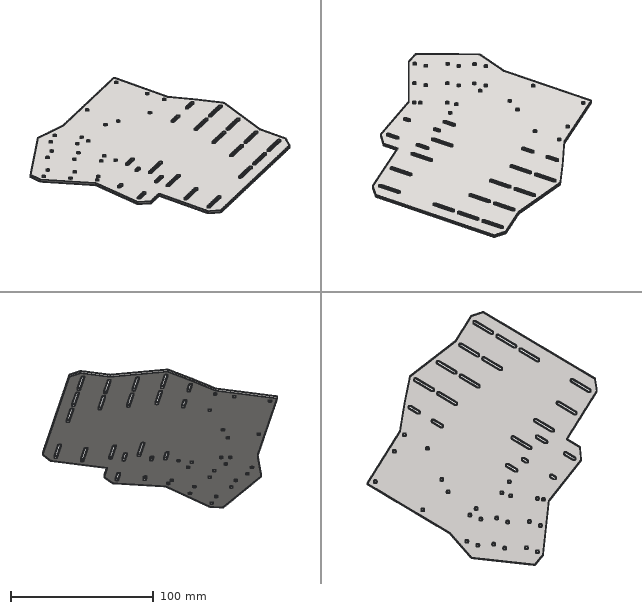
import cadquery as cq
import math

thickness = 2.0
width = 155.5
depth = 147.0
hole_dia = 2.2

pitch = 19.0
stagger = 7.0
first_column_x = 51.2
column_x = [first_column_x + i * pitch for i in range(6)]
top_row_y = 128.3
second_row_y = top_row_y - pitch
bottom_row_y = 48.0

row_span = 23.2
thumb_top_y = 47.7
thumb_bottom_y = thumb_top_y - row_span
thumb_x = [first_column_x + (i + 0.5) * pitch for i in range(3)]
thumb_short_travel = 2.6

tilt = math.radians(25)
cluster_a = (33.8, 41.7)
cluster_b = (35.3, 33.6)

controller_x = 11.7
controller_y = 89.1
controller_width = 25.7
controller_depth = 39.0
side_pair_x = 32.0
side_pair_y = 57.5

left_edge_x = 7.3
left_top_y = 132.4
left_bottom_y = 64.2
right_top_y = 132.8
right_bottom_y = 29.2
corner_x = 6.8
corner_y = 5.8
step_x = 108.0
step_corner = (7.5, 5.6)
step_low_y = 12.8
top_rise_x = 51.6
top_fall_x = 127.5
thumb_notch = (63.5, 16.8)
lowest_x = 28.0
lower_left = (19.0, 1.2)
left_corner_y = 41.8


def make_plate():
    outline = [
        (left_edge_x, left_top_y),
        (top_rise_x, left_top_y),
        (column_x[1], depth - stagger),
        (column_x[2], depth),
        (top_fall_x, right_top_y),
        (width - corner_x, right_top_y),
        (width, right_top_y - corner_y),
        (width, right_bottom_y + corner_y),
        (width - corner_x, right_bottom_y),
        (step_x, right_bottom_y),
        (step_x, step_low_y + step_corner[1]),
        (step_x - step_corner[0], step_low_y),
        thumb_notch,
        (lowest_x, 0),
        lower_left,
        (0, left_corner_y),
        (left_edge_x, left_bottom_y),
    ]
    return cq.Workplane("XY").polyline(outline).close().extrude(thickness)


def round_holes(points):
    return cq.Workplane("XY").pushPoints(points).circle(hole_dia / 2).extrude(thickness)


def upright_slot(x, low_y, high_y):
    """Slot whose end arcs are centred at low_y and high_y."""
    return (
        cq.Workplane("XY")
        .center(x, (low_y + high_y) / 2)
        .slot2D(high_y - low_y + hole_dia, hole_dia, 90)
        .extrude(thickness)
    )


def tilted_point(origin, along, across):
    """Point in the tilted cluster, measured from origin along and across its rows."""
    x = origin[0] + along * math.cos(tilt) - across * math.sin(tilt)
    y = origin[1] + along * math.sin(tilt) + across * math.cos(tilt)
    return (x, y)


def fixed_holes():
    points = [(first_column_x, y) for y in (top_row_y, second_row_y, bottom_row_y)]
    points += [(thumb_x[0], y) for y in (thumb_top_y, thumb_bottom_y)]
    points += [(side_pair_x, y) for y in (side_pair_y, side_pair_y + row_span)]
    for x in (controller_x, controller_x + controller_width):
        for y in (controller_y, controller_y + controller_depth):
            points.append((x, y))
    return points


def cluster_holes():
    points = []
    for origin in (cluster_a, cluster_b):
        for along in (-pitch, 0):
            for across in (pitch, 0, -row_span):
                points.append(tilted_point(origin, along, across))
    for across in (0, -row_span):
        points.append(tilted_point(cluster_b, pitch, across))
    return points


def column_slots():
    """Slots as (x, low_y, high_y); each column covers a range of stagger steps."""
    slots = []
    column_range = [(0, 1), (0, 2), (-1, 1), (-2, 0), (-2, 0)]
    for x, (low, high) in zip(column_x[1:], column_range):
        for row_y in (top_row_y, second_row_y, bottom_row_y):
            slots.append((x, row_y + low * stagger, row_y + high * stagger))
    third_row_y = second_row_y - pitch
    slots.append((column_x[-1], third_row_y - 2 * stagger, third_row_y))
    return slots


def thumb_slots():
    slots = []
    for x, travel in zip(thumb_x[1:], (thumb_short_travel, stagger)):
        for y in (thumb_top_y, thumb_bottom_y):
            slots.append((x, y - travel, y))
    return slots


result = make_plate().cut(round_holes(fixed_holes() + cluster_holes()))
for x, low_y, high_y in column_slots() + thumb_slots():
    result = result.cut(upright_slot(x, low_y, high_y))